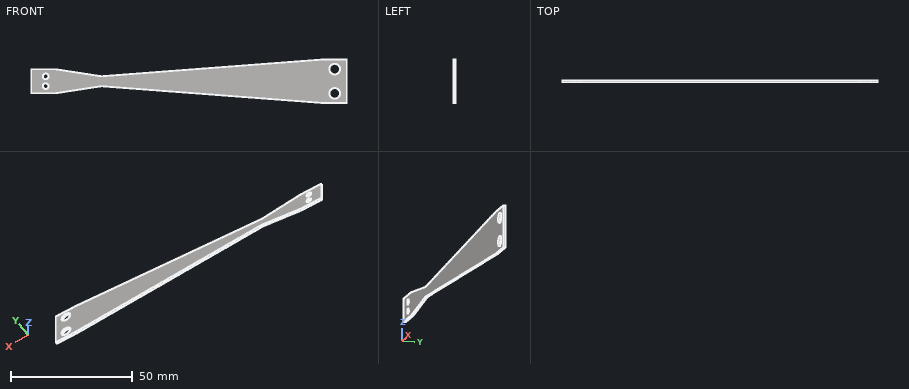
import cadquery as cq

total_length = 129.99
thickness = 1.0

tip_length = 10.0
tip_width = 10.0
tip_hole_inset = 6.0
tip_hole_diameter = 2.25
tip_hole_spacing = 4.0

waist_distance = 28.88
waist_width = 4.19

root_length = 10.0
root_width = 18.0
root_hole_diameter = 4.3
root_hole_spacing = 10.0

root_start = total_length - root_length


def make_blade():
    """Symmetric strip that narrows from the tip tab to the waist, then widens to the root tab."""
    upper_edge = [
        (0, tip_width / 2),
        (tip_length, tip_width / 2),
        (waist_distance, waist_width / 2),
        (root_start, root_width / 2),
    ]
    lower_edge = [(x, -z) for x, z in reversed(upper_edge)]
    return cq.Workplane("XZ").polyline(upper_edge + lower_edge).close().extrude(thickness)


def make_root_tab():
    """Rectangular mounting tab that continues the blade at its wide end."""
    return (
        cq.Workplane("XZ")
        .center(root_start + root_length / 2, 0)
        .rect(root_length, root_width)
        .extrude(thickness)
    )


def make_hole_pair(x, spacing, diameter):
    """Two through-hole cutters placed symmetrically about the centreline."""
    return (
        cq.Workplane("XZ")
        .pushPoints([(x, spacing / 2), (x, -spacing / 2)])
        .circle(diameter / 2)
        .extrude(thickness)
    )


blade = make_blade().cut(make_hole_pair(tip_hole_inset, tip_hole_spacing, tip_hole_diameter))
root_hole_x = root_start + root_length / 2
root_tab = make_root_tab().cut(make_hole_pair(root_hole_x, root_hole_spacing, root_hole_diameter))

result = blade.union(root_tab, clean=False)